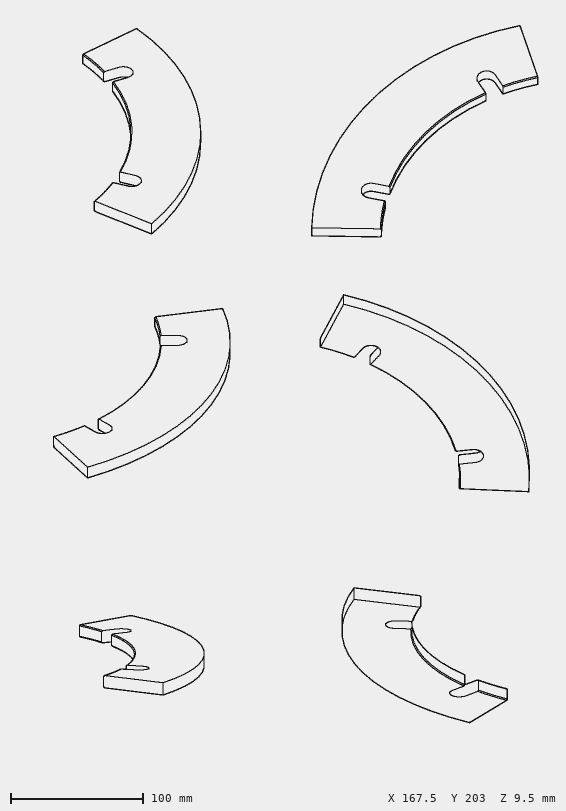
import cadquery as cq
import math

sweep_angle = 74.0
overall_length = 203.0
outer_radius = overall_length / math.sin(math.radians(sweep_angle))
inner_radius = 158.5
thickness = 9.5
edge_chamfer = 0.8

slot_width = 14.6
slot_centre_radius = 171.3
slot_offset_angle = 24.3


def polar(radius, angle):
    """Point at the given radius and angle in degrees."""
    return (radius * math.cos(math.radians(angle)), radius * math.sin(math.radians(angle)))


def ring_segment():
    middle = sweep_angle / 2
    return (
        cq.Workplane("XY")
        .moveTo(*polar(inner_radius, 0))
        .lineTo(*polar(outer_radius, 0))
        .threePointArc(polar(outer_radius, middle), polar(outer_radius, sweep_angle))
        .lineTo(*polar(inner_radius, sweep_angle))
        .threePointArc(polar(inner_radius, middle), polar(inner_radius, 0))
        .close()
        .extrude(thickness)
    )


def bevel_inner_edges(body):
    """Chamfer the top and bottom edges of the inner arc."""
    reach = inner_radius + edge_chamfer
    cone_height = reach
    lower_cone = cq.Workplane("XY").add(cq.Solid.makeCone(reach, 0, cone_height))
    upper_cone = lower_cone.mirror("XY").translate((0, 0, thickness))
    return body.cut(lower_cone).cut(upper_cone)


def slot(angle):
    """Radial slot with a round outer end, open through the inner arc."""
    round_end = cq.Workplane("XY").center(slot_centre_radius, 0).circle(slot_width / 2).extrude(thickness)
    channel = (
        cq.Workplane("XY")
        .center(slot_centre_radius / 2, 0)
        .rect(slot_centre_radius, slot_width)
        .extrude(thickness)
    )
    return round_end.union(channel).rotate((0, 0, 0), (0, 0, 1), angle)


result = bevel_inner_edges(ring_segment())
for side in (-1, 1):
    result = result.cut(slot(sweep_angle / 2 + side * slot_offset_angle))